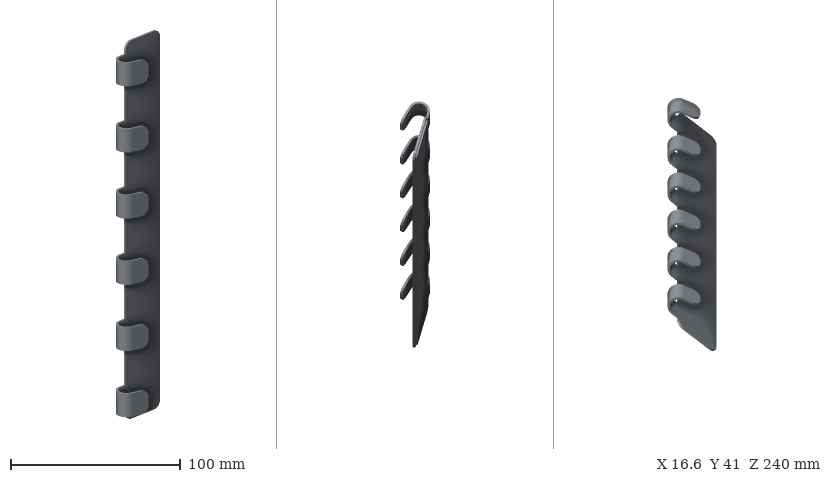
import cadquery as cq
import math

length = 240.0
plate_width = 30.0
sheet = 1.5
plate_corner_radius = 5.0

strip_thickness = 1.0
strip_margin = 2.0
strip_corner_radius = plate_corner_radius - strip_margin

hook_count = 6
hook_pitch = 42.0
hook_height = 15.0
hook_straight = 4.5
bend_outer_radius = 6.5
bend_inner_radius = bend_outer_radius - sheet
lip_length = 11.0
lip_angle = math.radians(15)
lip_corner_radius = 5.0

bend_x = bend_outer_radius
bend_y = -hook_straight


def rounded_panel(width, height, thickness, corner_radius, x_start):
    """Panel spanning the plate's Y centre, with rounded corners."""
    return (
        cq.Workplane("YZ", origin=(x_start, plate_width / 2, 0))
        .rect(width, height)
        .extrude(thickness)
        .edges("|X")
        .fillet(corner_radius)
    )


def bend_point(radius, angle):
    """Point on the bend, with the angle measured from +X."""
    return (bend_x + radius * math.cos(angle), bend_y + radius * math.sin(angle))


def lip_end(radius):
    """End of the lip face that leaves the bend tangentially at the given radius."""
    x, y = bend_point(radius, -lip_angle)
    return (x + lip_length * math.sin(lip_angle), y + lip_length * math.cos(lip_angle))


def make_hook(z_center):
    """J-shaped hook with the two corners of its lip rounded."""
    lowest = -math.pi / 2
    blank = (
        cq.Workplane("XY", origin=(0, 0, z_center - hook_height / 2))
        .moveTo(0, 0)
        .lineTo(0, bend_y)
        .threePointArc(bend_point(bend_outer_radius, lowest), bend_point(bend_outer_radius, -lip_angle))
        .lineTo(*lip_end(bend_outer_radius))
        .lineTo(*lip_end(bend_inner_radius))
        .lineTo(*bend_point(bend_inner_radius, -lip_angle))
        .threePointArc(bend_point(bend_inner_radius, lowest), (sheet, bend_y))
        .lineTo(sheet, 0)
        .close()
        .extrude(hook_height)
    )
    tip_x, tip_y = lip_end((bend_outer_radius + bend_inner_radius) / 2)
    for side in (-1, 1):
        corner = (tip_x, tip_y, z_center + side * hook_height / 2)
        blank = blank.edges(cq.NearestToPointSelector(corner)).fillet(lip_corner_radius)
    return blank


def make_hook_plate():
    """Plate and its hooks as one bent sheet."""
    plate = rounded_panel(plate_width, length, sheet, plate_corner_radius, 0)
    for index in range(hook_count):
        z_center = (index - (hook_count - 1) / 2) * hook_pitch
        plate = plate.union(make_hook(z_center))
    return plate


def make_backing_strip():
    """Flat strip set in from the plate's outline on every side."""
    return rounded_panel(
        plate_width - 2 * strip_margin,
        length - 2 * strip_margin,
        strip_thickness,
        strip_corner_radius,
        -strip_thickness,
    )


hook_plate = make_hook_plate()
backing_strip = make_backing_strip()

result = cq.Compound.makeCompound([hook_plate.val(), backing_strip.val()])